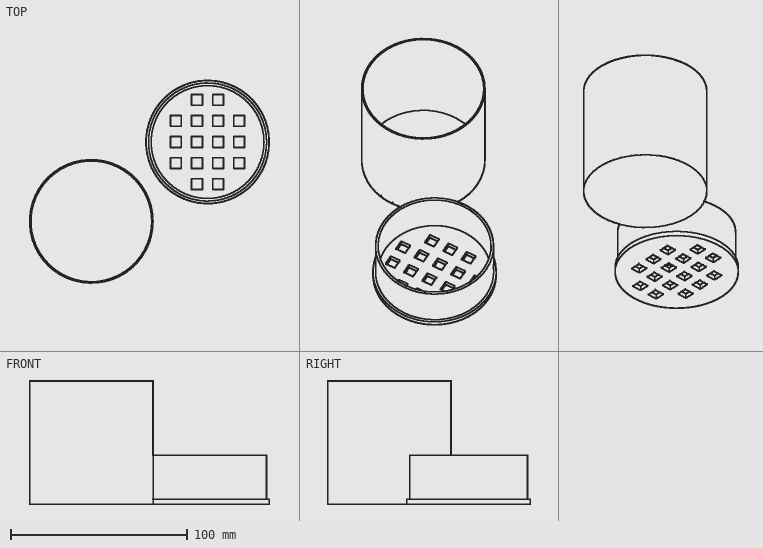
import cadquery as cq

outer_diameter = 70.0

cup_height = outer_diameter
cup_bore = 68.5
cup_wall = (outer_diameter - cup_bore) / 2
cup_floor = cup_wall

plate_thickness = 3.0
collar_outer = 67.0
collar_bore = 64.0
lid_height = 28.0
collar_height = lid_height - plate_thickness

hole_side = 6.0
hole_pitch = 2 * hole_side
hole_columns = 4
hole_rows = 5

lid_x = 136 - outer_diameter
lid_y = 45.0


def hole_positions():
    """Hole centres about the plate axis, without the grid corners."""
    points = []
    for column in range(hole_columns):
        for row in range(hole_rows):
            on_side_column = column in (0, hole_columns - 1)
            on_end_row = row in (0, hole_rows - 1)
            if on_side_column and on_end_row:
                continue
            x = (column - (hole_columns - 1) / 2) * hole_pitch
            y = (row - (hole_rows - 1) / 2) * hole_pitch
            points.append((x, y))
    return points


def make_cup():
    body = cq.Workplane("XY").circle(outer_diameter / 2).extrude(cup_height)
    cavity = (
        cq.Workplane("XY")
        .workplane(offset=cup_floor)
        .circle(cup_bore / 2)
        .extrude(cup_height - cup_floor)
    )
    return body.cut(cavity)


def make_plate():
    disc = cq.Workplane("XY").circle(outer_diameter / 2).extrude(plate_thickness)
    holes = (
        cq.Workplane("XY")
        .pushPoints(hole_positions())
        .rect(hole_side, hole_side)
        .extrude(plate_thickness)
    )
    return disc.cut(holes).translate((lid_x, lid_y, 0))


def make_collar():
    ring = (
        cq.Workplane("XY")
        .circle(collar_outer / 2)
        .circle(collar_bore / 2)
        .extrude(collar_height)
    )
    return ring.translate((lid_x, lid_y, plate_thickness))


cup = make_cup()
plate = make_plate()
collar = make_collar()

result = cq.Compound.makeCompound([cup.val(), plate.val(), collar.val()])